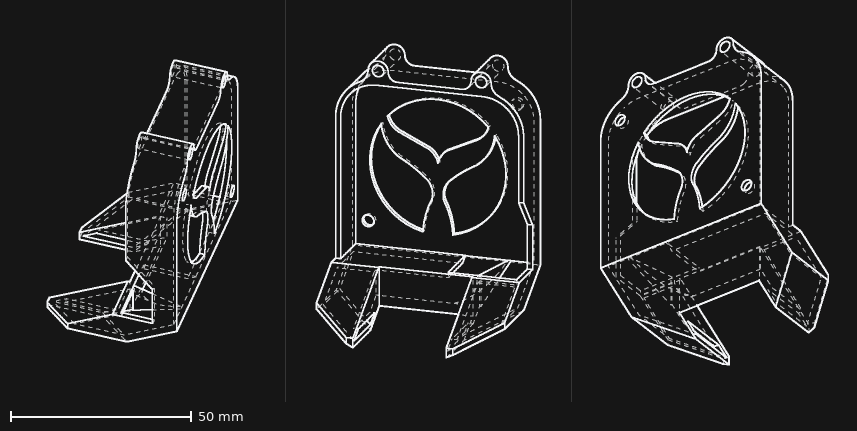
import cadquery as cq
import math


width = 55.0
half_width = width / 2
wall = 1.5
depth = 15.0
inner_half_width = half_width - wall
back_plate_x = depth - wall

shelf_z = 16.0
shroud_top_z = 69.6
corner_radius = 12.0
lug_y = 15.05
lug_z = 72.3
lug_radius = 2.9
lug_hole_diameter = 3.3
lug_fillet_inner = lug_z - shroud_top_z
notch_depth = 7.8
notch_top_z = 38.15
notch_bottom_z = 29.1

fan_y = 2.0
fan_z = 41.0
fan_diameter = 39.8
screw_hole_diameter = 3.4
screw_positions = [(-20.85, 61.85), (22.4, 23.1)]
tail_fork_height = 1.2
tail_root_half_width = 4.45
tail_reach = 20.3

slope_angle = math.radians(30)
slope = math.tan(slope_angle)
shoulder_x = -3.85
tip_x = -26.8
heel_z = 15.05
arm_inner_y = 13.6
bridge_x = -3.2
chamfer_height = 6.6
tip_width = 1.95
tip_cut_x = -16.9
inlet_edge_y = -6.0
outlet_top_z = 3.9

vane_start_y = -14.6
vane_end_y = -19.3
vane_thickness = 1.05
vane_radius = 8.5


def yz_plane(x):
    """Sketch plane whose local axes are the part's Y and Z."""
    return cq.Workplane("YZ", origin=(x, 0, 0))


def box(x_range, y_range, z_range):
    """Axis-aligned box between pairs of limits."""
    limits = (x_range, y_range, z_range)
    size = [high - low for low, high in limits]
    corner = [low for low, high in limits]
    return cq.Workplane("XY").box(*size, centered=False).translate(tuple(corner))


def mirrored(solid):
    """The solid together with its copy on the other side of y = 0."""
    return solid.union(solid.mirror("XZ"))


def rounded_shell(half, top, radius, start_x, length):
    """Block standing on the shelf with both upper corners rounded."""
    return (
        yz_plane(start_x)
        .moveTo(-half, shelf_z)
        .lineTo(-half, top - radius)
        .radiusArc((-half + radius, top), radius)
        .lineTo(half - radius, top)
        .radiusArc((half, top - radius), radius)
        .lineTo(half, shelf_z)
        .close()
        .extrude(length)
    )


def lug():
    """Pin lug on the +Y side, blended into the top edge and the rounded corner."""
    corner_y = half_width - corner_radius
    corner_z = shroud_top_z - corner_radius
    offset = lug_y + lug_radius - corner_y
    rise = lug_z - corner_z
    blend = (offset**2 + rise**2 - corner_radius**2) / (2 * (corner_radius - offset))
    share = corner_radius / (corner_radius + blend)
    touch_y = corner_y + share * (offset + blend)
    touch_z = corner_z + share * rise
    return (
        yz_plane(0)
        .moveTo(lug_y - lug_radius - lug_fillet_inner, shroud_top_z)
        .radiusArc((lug_y - lug_radius, lug_z), -lug_fillet_inner)
        .threePointArc((lug_y, lug_z + lug_radius), (lug_y + lug_radius, lug_z))
        .radiusArc((touch_y, touch_z), -blend)
        .lineTo(corner_y, shroud_top_z - wall)
        .lineTo(lug_y - lug_radius - lug_fillet_inner, shroud_top_z - wall)
        .close()
        .extrude(depth)
    )


def tail_half():
    """Half of the whale-tail grille, reaching just past the rim of the fan opening."""
    return (
        cq.Workplane("YZ", origin=(back_plate_x, fan_y, fan_z))
        .moveTo(0, tail_fork_height)
        .threePointArc((1.3, 3.9), (3.7, 5.6))
        .lineTo(10.75, 8.9)
        .threePointArc((13.25, 10.6), (14.8, 13.9))
        .lineTo(16.6, 12.05)
        .threePointArc((15.3, 6.4), (11.6, 1.95))
        .threePointArc((6.7, -1.05), (3.0, -4.1))
        .threePointArc((1.65, -6.8), (1.7, -9.5))
        .threePointArc((3.45, -13.85), (tail_root_half_width, -tail_reach))
        .lineTo(0, -tail_reach)
        .close()
        .extrude(wall)
    )


def shroud():
    """Open-faced fan housing with back plate, grille, lugs and side notch."""
    body = rounded_shell(half_width, shroud_top_z, corner_radius, 0, depth)
    body = body.union(mirrored(lug()))
    body = body.cut(
        rounded_shell(inner_half_width, shroud_top_z - wall, corner_radius - wall, 0, back_plate_x)
    )

    fan_opening = yz_plane(0).center(fan_y, fan_z).circle(fan_diameter / 2).extrude(depth)
    screw_holes = yz_plane(0).pushPoints(screw_positions).circle(screw_hole_diameter / 2).extrude(depth)
    lug_holes = (
        yz_plane(0)
        .pushPoints([(-lug_y, lug_z), (lug_y, lug_z)])
        .circle(lug_hole_diameter / 2)
        .extrude(depth)
    )
    body = body.cut(fan_opening).cut(screw_holes).cut(lug_holes)

    right_half = tail_half()
    left_half = right_half.mirror("XZ", (0, fan_y, 0))
    body = body.union(right_half).union(left_half)

    notch = (
        cq.Workplane("XZ", origin=(0, -inner_half_width, 0))
        .polyline([(0, shelf_z), (notch_depth, shelf_z), (notch_depth, notch_bottom_z), (0, notch_top_z)])
        .close()
        .extrude(wall)
    )
    return body.cut(notch)


def sloping_band(lower_inset, upper_inset):
    """Full-width slab between the duct's two parallel sloping faces, moved in by the insets."""
    lower_shift = lower_inset / math.cos(slope_angle)
    upper_shift = upper_inset / math.cos(slope_angle)

    def lower_z(x):
        return heel_z + lower_shift - (depth - x) * slope

    def upper_z(x):
        return shelf_z - upper_shift - (shoulder_x - x) * slope

    profile = [
        (tip_x, lower_z(tip_x)),
        (depth, lower_z(depth)),
        (depth, upper_z(depth)),
        (tip_x, upper_z(tip_x)),
    ]
    return cq.Workplane("XZ", origin=(0, half_width, 0)).polyline(profile).close().extrude(width)


def duct_form(inset, inner_inset):
    """Duct body with bevelled arms, moved in by the inset; the arms' facing sides have their own."""
    side_y = half_width - inset
    form = sloping_band(inset, inset).intersect(
        box((tip_x, depth - inset), (-side_y, side_y), (0, shelf_z - inset))
    )

    gap_y = arm_inner_y + inner_inset
    form = form.cut(box((tip_x, bridge_x + inset), (-gap_y, gap_y), (0, shelf_z)))

    fall_angle = math.atan2(chamfer_height, half_width - arm_inner_y)
    lift = inset / math.cos(fall_angle)
    below_z = -wall
    underside = (
        yz_plane(tip_x)
        .moveTo(arm_inner_y, below_z)
        .lineTo(arm_inner_y, lift)
        .lineTo(half_width, chamfer_height + lift)
        .lineTo(half_width, below_z)
        .close()
        .extrude(depth - tip_x)
    )

    bevel_start_y = arm_inner_y + tip_width
    bevel_angle = math.atan2(half_width - bevel_start_y, tip_cut_x - tip_x)
    shift = inset / math.sin(bevel_angle)
    beyond_tip_x = tip_x - wall
    bevel = (
        cq.Workplane("XY")
        .moveTo(beyond_tip_x, bevel_start_y)
        .lineTo(tip_x + shift, bevel_start_y)
        .lineTo(tip_cut_x + shift, half_width)
        .lineTo(beyond_tip_x, half_width)
        .close()
        .extrude(shelf_z)
    )
    return form.cut(mirrored(underside)).cut(mirrored(bevel))


def divider():
    """Upright vane with a rounded crest whose +Y side sweeps down into the duct floor."""
    run = cq.Vector(depth - bridge_x, vane_end_y - vane_start_y, 0)
    crest_z = shelf_z - vane_thickness / 2
    half = vane_thickness / 2
    path = cq.Plane(origin=(bridge_x, vane_start_y, 0), xDir=(-run.y, run.x, 0), normal=run.toTuple())
    return (
        cq.Workplane(path)
        .moveTo(-half, 0)
        .lineTo(-half, crest_z)
        .threePointArc((0, shelf_z), (half, crest_z))
        .radiusArc((half + vane_radius, crest_z - vane_radius), -vane_radius)
        .lineTo(half + vane_radius, 0)
        .close()
        .extrude(run.Length)
    )


def duct():
    """Hollow duct with its inlet in the shelf and low outlets on the facing sides of the arms."""
    outer = duct_form(0, 0)
    air = duct_form(wall, wall)
    outlet_zone = box((tip_x, bridge_x), (-half_width, half_width), (0, outlet_top_z))
    air = air.union(duct_form(wall, 0).intersect(outlet_zone))

    chamber_x = (bridge_x + wall, back_plate_x)
    inlet = box(chamber_x, (-inner_half_width, inlet_edge_y), (shelf_z - wall, shelf_z))
    air = air.union(inlet.intersect(sloping_band(wall, 0)))

    chamber = box(chamber_x, (-half_width, half_width), (0, shelf_z))
    vane = divider().intersect(chamber).intersect(outer)
    return outer.cut(air).union(vane)


result = shroud().union(duct()).solids()